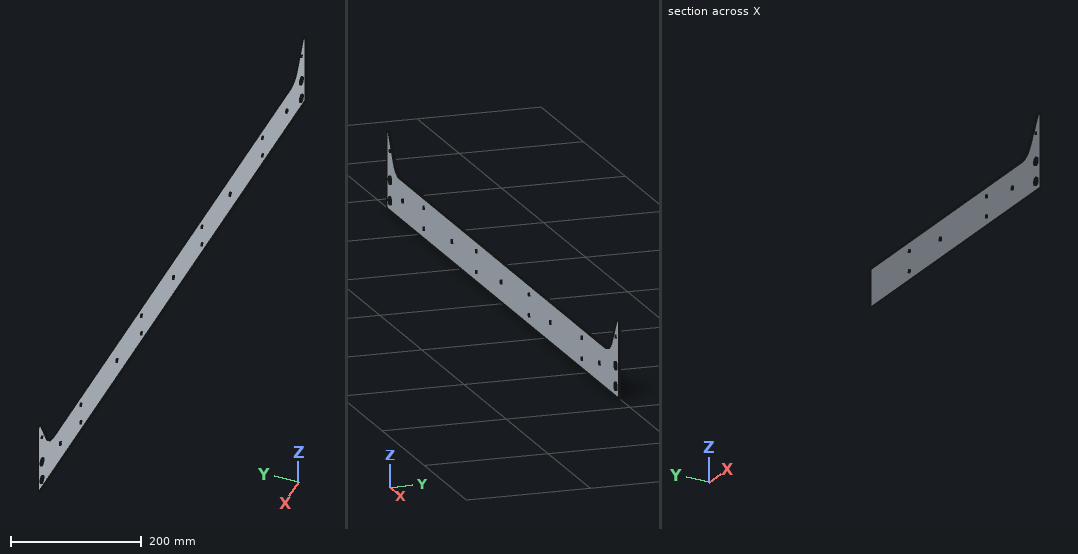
import cadquery as cq

length = 1103.0
thickness = 3.0
ear_height = 124.0
web_height = 64.0

ear_tip_width = 9.0
ear_base_width = 44.0
ear_fillet_radius = 33.0

row_pitch = 33.0
middle_row_z = web_height / 2
row_heights = [middle_row_z - row_pitch / 2, middle_row_z + row_pitch / 2]

mount_edge_distance = 15.0
mount_diameter = 12.0

ear_hole_edge_distance = 15.0
ear_hole_z = 95.0
ear_hole_diameter = 3.0

paired_count = 4
paired_pitch = 250.0
paired_diameter = 4.0

single_count = 5
single_pitch = 234.0
single_row_offset = -8.0
single_diameter = 5.0


def make_plate():
    """Web with two sloping ears; the front face lies at Y = 0."""
    half = length / 2
    ear_root = half - ear_base_width
    ear_tip = half - ear_tip_width
    outline = [
        (-half, 0),
        (half, 0),
        (half, ear_height),
        (ear_tip, ear_height),
        (ear_root, web_height),
        (-ear_root, web_height),
        (-ear_tip, ear_height),
        (-half, ear_height),
    ]
    plate = cq.Workplane("XZ").polyline(outline).close().extrude(-thickness)
    ear_roots = cq.selectors.BoxSelector(
        (-ear_root - ear_tip_width, -thickness, web_height - ear_tip_width),
        (ear_root + ear_tip_width, 2 * thickness, web_height + ear_tip_width),
    )
    return plate.edges("|Y").edges(ear_roots).fillet(ear_fillet_radius)


def evenly_spaced(count, pitch, center=0.0):
    """X positions of a row of holes spread about its center."""
    return [center + (i - (count - 1) / 2) * pitch for i in range(count)]


def front_points(plate, points):
    """Place hole centers, given as (X, Z), on the front face."""
    return plate.copyWorkplane(cq.Workplane("XZ")).pushPoints(points)


mount_x = length / 2 - mount_edge_distance
mount_points = [(x, z) for x in (-mount_x, mount_x) for z in row_heights]

ear_hole_x = length / 2 - ear_hole_edge_distance
ear_points = [(-ear_hole_x, ear_hole_z), (ear_hole_x, ear_hole_z)]

paired_x = evenly_spaced(paired_count, paired_pitch)
paired_points = [(x, z) for x in paired_x for z in row_heights]

single_x = evenly_spaced(single_count, single_pitch, single_row_offset)
single_points = [(x, middle_row_z) for x in single_x]

result = make_plate()
result = front_points(result, mount_points).hole(mount_diameter)
result = front_points(result, ear_points).hole(ear_hole_diameter)
result = front_points(result, paired_points).hole(paired_diameter)
result = front_points(result, single_points).hole(single_diameter)